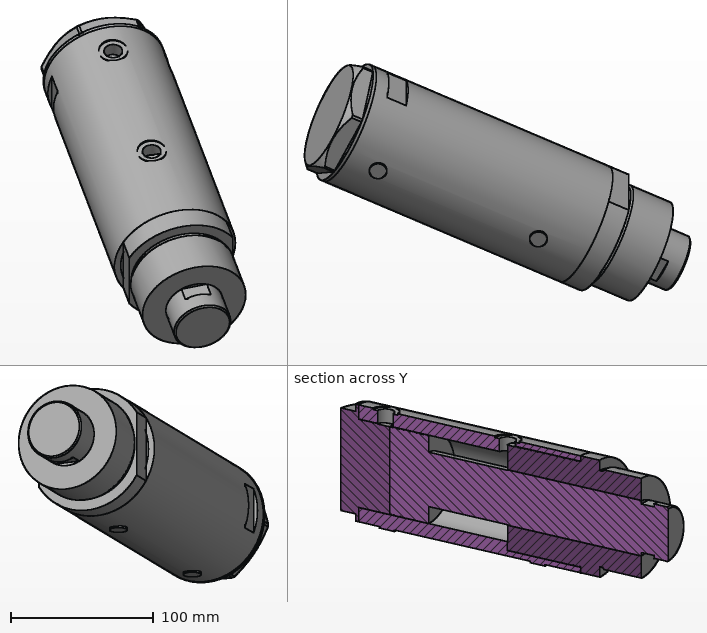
import cadquery as cq
import math


CAP_FLANGE_START = 12.5
HOUSING_START = 15.0
SPIGOT_END = 41.2
GLAND_START = 139.5
GLAND_FLANGE_START = 201.0
GLAND_FLANGE_END = 216.8
COLLAR_START = 219.0
COLLAR_END = 251.7
ROD_END = 274.5

CLEARANCE = 2.7

HOUSING_DIAMETER = 88.0
HOUSING_RADIUS = HOUSING_DIAMETER / 2
BORE_RADIUS = 33.0
WRENCH_SLOT_START = 25.0
WRENCH_SLOT_LENGTH = 15.0
WRENCH_SLOT_DEPTH = 3.0
PORT_POSITIONS = (37.5, GLAND_START)
PORT_DIAMETER = 13.0
SPOTFACE_DIAMETER = 20.3
SPOTFACE_DEPTH = 1.0
BOSS_POSITIONS = (38.7, 164.7)
BOSS_DIAMETER = 12.4
BOSS_HEIGHT = 1.0

HEX_ACROSS_FLATS = 76.5
HEX_CORNER_RADIUS = 43.6
HEX_CORNER_ANGLE = 52.5
CAP_FACE_RADIUS = 38.0
CAP_CHAMFER_LENGTH = 5.0

GLAND_RADIUS = 39.5
FLANGE_HALF_WIDTH = 37.5
COLLAR_RADIUS = FLANGE_HALF_WIDTH
COLLAR_CHAMFER = 1.5
NECK_RADIUS = COLLAR_RADIUS - COLLAR_CHAMFER

ROD_RADIUS = 20.5
PISTON_LENGTH = 33.0
ROD_CHAMFER = 1.0
ROD_FLAT_HALF_HEIGHT = 18.5
ROD_FLAT_END = 262.0


def cylinder(start, end, radius):
    """Cylinder on the X axis between two stations."""
    return cq.Workplane("YZ").workplane(offset=start).circle(radius).extrude(end - start)


def paired_blocks(start, end, inner, outer, width, axis):
    """Two blocks, one on each side of the X axis, from distance inner to outer along "Y" or "Z"."""
    length = end - start
    thickness = outer - inner
    size = (length, thickness, width) if axis == "Y" else (length, width, thickness)
    direction = cq.Vector(0, 1, 0) if axis == "Y" else cq.Vector(0, 0, 1)
    blocks = cq.Workplane("XY")
    for side in (-1, 1):
        centre = cq.Vector((start + end) / 2, 0, 0) + direction * (side * (inner + outer) / 2)
        blocks = blocks.union(cq.Workplane("XY").box(*size).translate(centre))
    return blocks


def vertical_cylinder(x, bottom, top, diameter):
    """Cylinder parallel to Z, centred on the XZ plane."""
    base = cq.Workplane("XY").workplane(offset=bottom).center(x, 0)
    return base.circle(diameter / 2).extrude(top - bottom)


def make_housing():
    """Barrel with a stepped bore, two wrench slots, two ports on top and two bosses below."""
    housing = cylinder(HOUSING_START, GLAND_FLANGE_START, HOUSING_RADIUS)
    boss_bottom = -HOUSING_RADIUS - BOSS_HEIGHT
    boss_root = -HOUSING_RADIUS + CLEARANCE
    for x in BOSS_POSITIONS:
        housing = housing.union(vertical_cylinder(x, boss_bottom, boss_root, BOSS_DIAMETER))

    clear_radius = HOUSING_RADIUS + CLEARANCE
    slot_floor = HOUSING_RADIUS - WRENCH_SLOT_DEPTH
    slot_end = WRENCH_SLOT_START + WRENCH_SLOT_LENGTH
    housing = housing.cut(
        paired_blocks(WRENCH_SLOT_START, slot_end, slot_floor, clear_radius, HOUSING_DIAMETER, "Y")
    )

    spotface_floor = HOUSING_RADIUS - SPOTFACE_DEPTH
    for x in PORT_POSITIONS:
        housing = housing.cut(vertical_cylinder(x, spotface_floor, clear_radius, SPOTFACE_DIAMETER))
        housing = housing.cut(vertical_cylinder(x, 0, clear_radius, PORT_DIAMETER))

    housing = housing.cut(cylinder(HOUSING_START, GLAND_START, BORE_RADIUS))
    return housing.cut(cylinder(GLAND_START, GLAND_FLANGE_START, GLAND_RADIUS))


def make_cap():
    """Hexagonal cap with a chamfered face, a round flange and a spigot in the housing bore."""
    across_corners = HEX_ACROSS_FLATS / math.cos(math.radians(30))
    hexagon = (
        cq.Workplane("YZ")
        .polygon(6, across_corners)
        .extrude(CAP_FLANGE_START)
        .rotate((0, 0, 0), (1, 0, 0), HEX_CORNER_ANGLE)
    )
    turned_envelope = (
        cq.Workplane("XY")
        .polyline([
            (0, 0),
            (0, CAP_FACE_RADIUS),
            (CAP_CHAMFER_LENGTH, HEX_CORNER_RADIUS),
            (CAP_FLANGE_START, HEX_CORNER_RADIUS),
            (CAP_FLANGE_START, 0),
        ])
        .close()
        .revolve(360, (0, 0, 0), (1, 0, 0))
    )
    head = hexagon.intersect(turned_envelope)
    flange = cylinder(CAP_FLANGE_START, HOUSING_START, HOUSING_RADIUS)
    spigot = cylinder(HOUSING_START, SPIGOT_END, BORE_RADIUS)
    return head.union(flange).union(spigot)


def make_gland():
    """Rod guide in the housing bore, a flange with two side flats, a neck and a front collar."""
    guide = cylinder(GLAND_START, GLAND_FLANGE_START, GLAND_RADIUS)
    flange = cylinder(GLAND_FLANGE_START, GLAND_FLANGE_END, HOUSING_RADIUS)
    clear_radius = HOUSING_RADIUS + CLEARANCE
    side_flats = paired_blocks(
        GLAND_FLANGE_START, GLAND_FLANGE_END, FLANGE_HALF_WIDTH, clear_radius, HOUSING_DIAMETER, "Y"
    )
    flange = flange.cut(side_flats)
    neck = cylinder(GLAND_FLANGE_END, COLLAR_START, NECK_RADIUS)
    collar = cylinder(COLLAR_START, COLLAR_END, COLLAR_RADIUS).faces("<X").chamfer(COLLAR_CHAMFER)
    rod_hole = cylinder(GLAND_START, COLLAR_END, ROD_RADIUS)
    return guide.union(flange).union(neck).union(collar).cut(rod_hole)


def make_piston_rod():
    """Piston against the cap spigot, and a rod with two flats and a chamfered end."""
    piston = cylinder(SPIGOT_END, SPIGOT_END + PISTON_LENGTH, BORE_RADIUS)
    rod = cylinder(SPIGOT_END, ROD_END, ROD_RADIUS).faces(">X").chamfer(ROD_CHAMFER)
    clear_radius = ROD_RADIUS + CLEARANCE
    flats = paired_blocks(
        COLLAR_END, ROD_FLAT_END, ROD_FLAT_HALF_HEIGHT, clear_radius, 2 * ROD_RADIUS, "Z"
    )
    return rod.cut(flats).union(piston)


housing = make_housing()
cap = make_cap()
gland = make_gland()
piston_rod = make_piston_rod()

result = cq.Compound.makeCompound([housing.val(), cap.val(), gland.val(), piston_rod.val()])